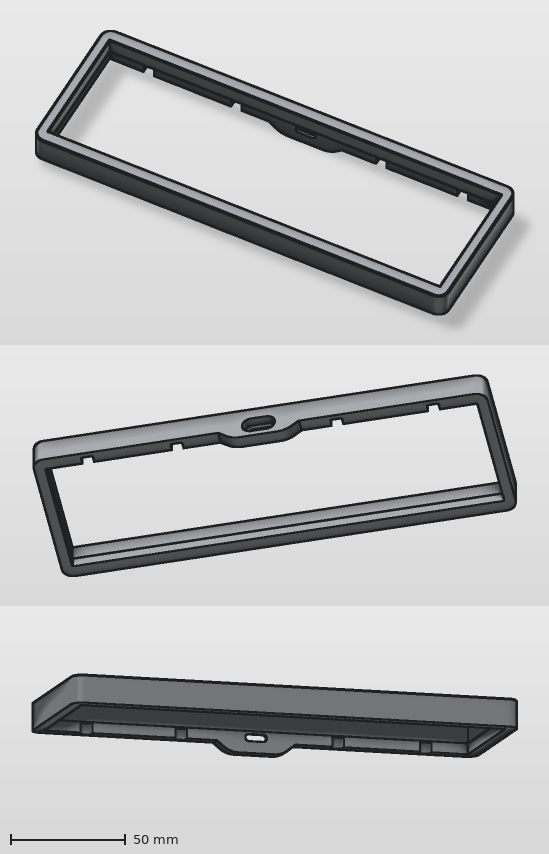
import cadquery as cq

length = 201.5
width = 70.1
frame_height = 12.5
corner_radius = 5.0
end_wall = 5.0
side_wall = 6.0
outer_edge_chamfer = 0.5
inner_edge_chamfer = 0.5

relief_height = 4.8
relief_step = 0.2
relief_corner_radius = 0.8

notch_depth = 3.5
notch_corner_radius = 0.8
notch_width = 5.2
notch_centers = (-76.8, -33.8, 37.0, 76.8)

tab_drop = 4.8
tab_root_width = 35.9
tab_tip_width = 23.8
tab_tip_radius = 10.0

slot_length = 9.7
slot_height = 3.2
slot_center_z = 2.0
slot_depth = 1.6
recess_margin = 2.5

wall_outer_y = width / 2
wall_inner_y = wall_outer_y - side_wall


def make_frame():
    opening_length = length - 2 * end_wall
    opening_width = width - 2 * side_wall
    body = cq.Workplane("XY").rect(length, width).extrude(frame_height)
    body = body.edges("|Z").fillet(corner_radius)
    body = body.faces(">Z").edges().chamfer(outer_edge_chamfer)
    body = body.cut(cq.Workplane("XY").rect(opening_length, opening_width).extrude(frame_height))
    opening_rim = body.faces(">Z").wires(cq.selectors.LengthNthSelector(0))
    body = opening_rim.chamfer(inner_edge_chamfer)
    relief = (
        cq.Workplane("XY")
        .rect(opening_length + 2 * relief_step, opening_width + 2 * relief_step)
        .extrude(relief_height)
        .edges("|Z")
        .fillet(relief_corner_radius)
    )
    return body.cut(relief)


def make_notches():
    cutter_depth = 2 * notch_depth
    back_y = wall_inner_y + relief_step + notch_depth
    return (
        cq.Workplane("XY")
        .pushPoints([(x, back_y - cutter_depth / 2) for x in notch_centers])
        .rect(notch_width, cutter_depth)
        .extrude(relief_height)
        .edges("|Z and >Y")
        .fillet(notch_corner_radius)
    )


def make_tab():
    thickness = side_wall - relief_step
    tab = (
        cq.Workplane("XZ", origin=(0, wall_outer_y, 0))
        .moveTo(-tab_root_width / 2, 0)
        .lineTo(-tab_tip_width / 2, -tab_drop)
        .lineTo(tab_tip_width / 2, -tab_drop)
        .lineTo(tab_root_width / 2, 0)
        .close()
        .extrude(thickness)
    )
    return tab.faces("<Z").edges("|Y").fillet(tab_tip_radius)


def make_slot():
    slot = (
        cq.Workplane("XZ", origin=(0, wall_outer_y, slot_center_z))
        .slot2D(slot_length, slot_height)
        .extrude(side_wall)
    )
    recess = (
        cq.Workplane("XZ", origin=(0, wall_outer_y, slot_center_z))
        .slot2D(slot_length + 2 * recess_margin, slot_height + 2 * recess_margin)
        .extrude(side_wall - relief_step - slot_depth)
    )
    return slot.union(recess)


result = make_frame().cut(make_notches()).union(make_tab()).cut(make_slot())